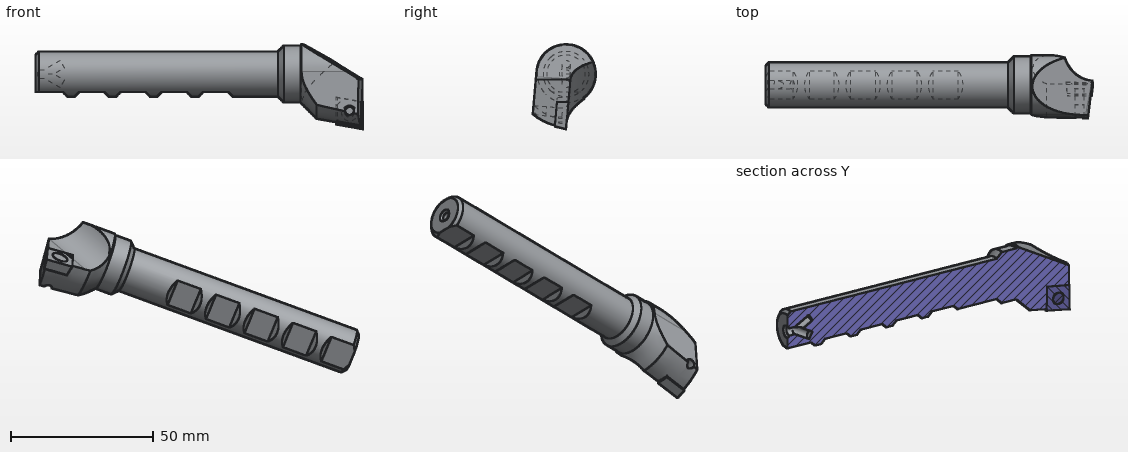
import cadquery as cq
import math

total_length = 115.0

shank_diameter = 16.0
shank_radius = shank_diameter / 2
shank_end_chamfer = 1.3
collar_start = 85.1
collar_diameter = 20.1
collar_radius = collar_diameter / 2
collar_chamfer = collar_radius - shank_radius
collar_end = 93.0

flat_height = 6.3
flat_pitch = 14.5
flat_length = 8.7
flat_count = 4
first_flat_start = 15.4
end_flat_length = 9.7

coolant_mouth_radius = 2.3
coolant_radius = 1.5
coolant_depth = 3.5
branch_angle = 30.0
branch_length = 6.9

head_radius = 10.5
head_start = collar_end + head_radius - collar_radius
flare_end_radius = 15.8
flare_end = collar_end + flare_end_radius - collar_radius
nose_taper = 10.0
head_roll = 5.0

flare_side = 7.1

top_slope = 30.5
top_turn = 4.5
top_start_x = 93.7
lead_angle = 7.0
end_face_x = 114.7
top_edge_z = -2.0
top_edge_angle = 45.0

flute_radius = 12.9
flute_foot_x = 116.6
flute_slope = 45.0

insert_edge = 9.7
insert_corner_angle = 80.0
insert_thickness = 4.0
insert_relief = 7.0
tip_depth = 19.3

screw_radius = 1.6
screw_head_radius = 2.8
screw_head_height = 1.8
screw_length = 7.5

rake_y = tip_depth * math.tan(math.radians(head_roll))
lean = insert_edge * math.cos(math.radians(insert_corner_angle))
insert_width = insert_edge * math.sin(math.radians(insert_corner_angle))
insert_center = (total_length - insert_width / 2, (lean + insert_edge) / 2 - tip_depth)

big = 69.0


def roll(body):
    """Turn a body from the head's own frame into place about the bar axis."""
    return body.rotate((0, 0, 0), (1, 0, 0), -head_roll)


def revolve_about_x(points):
    """Revolve a closed (x, radius) outline about the bar axis."""
    return cq.Workplane("XY").polyline(points).close().revolve(360, (0, 0, 0), (1, 0, 0))


def facing_insert():
    """Workplane on the rake face at the middle of the insert, pointing into the head."""
    plane = cq.Plane(
        origin=(insert_center[0], rake_y, insert_center[1]), xDir=(1, 0, 0), normal=(0, -1, 0)
    )
    return cq.Workplane(plane)


def make_shank():
    shank = revolve_about_x([
        (0, 0),
        (0, shank_radius - shank_end_chamfer),
        (shank_end_chamfer, shank_radius),
        (collar_start, shank_radius),
        (collar_start + collar_chamfer, collar_radius),
        (collar_end, collar_radius),
        (collar_end, 0),
    ])
    return shank.cut(flats()).cut(coolant_bore())


def flats():
    """Flats under the shank with 45 degree ends, leaving ridges between them."""
    def flat(start, end):
        outline = [
            (start, -flat_height),
            (end, -flat_height),
            (end + shank_radius, -flat_height - shank_radius),
            (start - shank_radius, -flat_height - shank_radius),
        ]
        return cq.Workplane("XZ").polyline(outline).close().extrude(shank_radius, both=True)

    below_shank = cq.Workplane("XY").box(
        collar_start, 2 * shank_radius, shank_radius - flat_height, centered=(False, True, False)
    ).translate((0, 0, -shank_radius))
    cutter = flat(0, end_flat_length)
    for index in range(flat_count):
        start = first_flat_start + index * flat_pitch
        cutter = cutter.union(flat(start, start + flat_length))
    return cutter.intersect(below_shank)


def coolant_bore():
    """Countersunk bore in the shank end that splits into two inclined branches."""
    bore = revolve_about_x([
        (0, 0),
        (0, coolant_mouth_radius),
        (coolant_mouth_radius - coolant_radius, coolant_radius),
        (coolant_depth, coolant_radius),
        (coolant_depth, 0),
    ])
    for angle in (branch_angle, -branch_angle):
        branch = cq.Workplane("YZ").circle(coolant_radius).extrude(branch_length)
        branch = branch.rotate((0, 0, 0), (0, 1, 0), angle).translate((coolant_depth, 0, 0))
        bore = bore.union(branch)
    return bore


def make_head():
    """Round head with a flared lower half carrying the insert."""
    taper_run = total_length - flare_end
    round_head = revolve_about_x([
        (collar_end, 0),
        (collar_end, collar_radius),
        (head_start, head_radius),
        (total_length, head_radius),
        (total_length, 0),
    ])
    flare = revolve_about_x([
        (collar_end, 0),
        (collar_end, collar_radius),
        (flare_end, flare_end_radius),
        (total_length, flare_end_radius + taper_run * math.tan(math.radians(nose_taper))),
        (total_length, 0),
    ])
    lower_side = cq.Workplane("XY").box(
        total_length, head_radius + flare_side, big, centered=False
    ).translate((0, -head_radius, -big))
    head = round_head.union(flare.intersect(lower_side))
    head = roll(head.cut(flute()))
    return head.cut(end_cutter()).cut(top_cutter()).cut(edge_cutter())


def flute():
    """Chip flute: flat rake face that turns up into a round wall, swept at 45 degrees."""
    slope = math.radians(flute_slope)
    plane = cq.Plane(
        origin=(flute_foot_x, rake_y, 0),
        xDir=(math.sin(slope), 0, -math.cos(slope)),
        normal=(math.cos(slope), 0, math.sin(slope)),
    )
    profile = (
        cq.Workplane(plane)
        .lineTo(big, 0)
        .lineTo(big, big)
        .lineTo(-flute_radius, big)
        .lineTo(-flute_radius, flute_radius)
        .radiusArc((0, 0), -flute_radius)
        .close()
    )
    return profile.extrude(big, both=True)


def end_cutter():
    block = cq.Workplane("XY").box(big, big, big, centered=(False, True, True))
    return block.rotate((0, 0, 0), (0, 0, 1), -lead_angle).translate((end_face_x, 0, 0))


def top_cutter():
    """Everything above the slanted top plane of the head."""
    block = cq.Workplane("XY").box(2 * big, 2 * big, big, centered=(True, True, False))
    block = block.rotate((0, 0, 0), (0, 1, 0), top_slope).rotate((0, 0, 0), (0, 0, 1), -top_turn)
    return block.translate((top_start_x, 0, head_radius))


def edge_cutter():
    """Chamfer between the slanted top and the end face."""
    block = cq.Workplane("XY").box(big, big, big, centered=(True, True, False))
    block = block.rotate((0, 0, 0), (0, 1, 0), top_edge_angle).rotate((0, 0, 0), (0, 0, 1), -lead_angle)
    return block.translate((end_face_x, 0, top_edge_z))


def make_insert():
    """Rhombic insert with relieved sides, flush with the rake face."""
    plane = cq.Plane(origin=(total_length, rake_y, -tip_depth), xDir=(1, 0, 0), normal=(0, -1, 0))
    corners = [
        (0, 0),
        (0, insert_edge),
        (-insert_width, insert_edge + lean),
        (-insert_width, lean),
    ]
    return cq.Workplane(plane).polyline(corners).close().extrude(insert_thickness, taper=insert_relief)


def make_screw():
    """Countersunk screw through the insert, ending inside the head."""
    head = (
        facing_insert().circle(screw_head_radius)
        .workplane(offset=screw_head_height).circle(screw_radius).loft()
    )
    return head.union(facing_insert().circle(screw_radius).extrude(screw_length))


insert_blank = roll(make_insert())
screw = roll(make_screw())
screw_hole = roll(facing_insert().circle(screw_radius).extrude(big))

holder = make_shank().union(make_head()).cut(insert_blank).cut(screw_hole)
insert = insert_blank.cut(screw)

result = cq.Compound.makeCompound([body.solids().val() for body in (holder, insert, screw)])